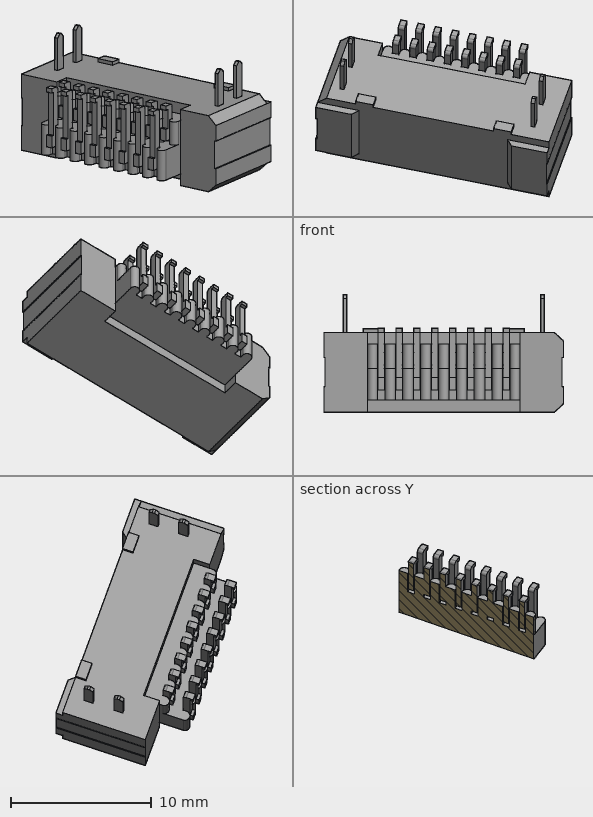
import cadquery as cq


length = 17.04
depth = 6.22
height = 5.69
end_bevel_x = 0.66
end_bevel_z = 0.61

groove_bottom = 1.84
groove_top = 3.9
left_groove_depth = 0.07
right_groove_depth = 0.1

flange_length = 3.07
flange_thick = 0.51
flange_slant = 0.45

pad_length = 1.3
pad_depth = 0.78
pad_height = 0.25
pad_spacing = 10.15

post_spacing_x = 14.04
post_spacing_y = 2.25
post_thick = 0.27
post_width = 0.68
post_front_y = 2.5
post_top = 8.37
post_taper = 0.25

carrier_length = 10.82
notch_depth = 1.21
carrier_bottom = 0.87
carrier_step = 3.14
carrier_top = 4.87

contact_count = 8
contact_span = 8.9
contact_pitch = contact_span / (contact_count - 1)
contact_width = 0.46
contact_thick = 0.53
contact_top = 6.0
bend_radius = 0.46 / 2
lip_reach = 0.22
lip_thick = 0.32
bump_height = 0.89
slot_width = 0.51
finger_reach = 0.61

upper_floor_y = 0.02
row_offset_y = 1.53
lower_floor_y = upper_floor_y - row_offset_y
upper_contact_bottom = 3.37
lower_contact_bottom = 1.58


def block(x_min, x_max, y_min, y_max, z_min, z_max):
    """Box between two opposite corners."""
    size = (x_max - x_min, y_max - y_min, z_max - z_min)
    return cq.Workplane("XY").box(*size, centered=False).translate((x_min, y_min, z_min))


def contact_positions():
    """X positions of the contacts in a row."""
    return [-contact_span / 2 + i * contact_pitch for i in range(contact_count)]



def housing_shell():
    """Main block with the bevelled right end and the notch for the carrier."""
    half = length / 2
    outline = [
        (-half, 0),
        (half - end_bevel_x, 0),
        (half, end_bevel_z),
        (half, height - end_bevel_z),
        (half - end_bevel_x, height),
        (-half, height),
    ]
    shell = cq.Workplane("XZ").polyline(outline).close().extrude(-depth)
    notch_half = carrier_length / 2
    return shell.cut(block(-notch_half, notch_half, 0, notch_depth, 0, height))


def rear_flange():
    """Right-hand flange behind the housing, slanted at its inner edge."""
    end = length / 2
    inner = end - flange_length
    back = depth + flange_thick
    outline = [(inner, depth), (end, depth), (end, back), (inner + flange_slant, back)]
    flange = cq.Workplane("XY").polyline(outline).close().extrude(height - 2 * end_bevel_z)
    return flange.translate((0, 0, end_bevel_z))


def end_grooves():
    """Cutters for the grooves along the left and right ends."""
    half = length / 2
    back = depth + flange_thick
    left = block(-half, -half + left_groove_depth, 0, back, groove_bottom, groove_top)
    right = block(half - right_groove_depth, half, 0, back, groove_bottom, groove_top)
    return left.add(right).combine()


def mounting_post(x, y):
    """Flat post with a tapered tip."""
    half = post_width / 2
    outline = [
        (y - half, height),
        (y + half, height),
        (y + half, post_top - post_taper),
        (y + half - post_taper, post_top),
        (y - half + post_taper, post_top),
        (y - half, post_top - post_taper),
    ]
    post = cq.Workplane("YZ").polyline(outline).close().extrude(post_thick)
    return post.translate((x - post_thick / 2, 0, 0))


def make_housing():
    """Housing with its flanges, pads and posts."""
    flange = rear_flange()
    body = housing_shell().union(flange).union(flange.mirror("YZ"))
    body = body.cut(end_grooves())
    for side in (-1, 1):
        pad_x = side * pad_spacing / 2
        pad_ends = (pad_x - pad_length / 2, pad_x + pad_length / 2)
        body = body.union(block(*pad_ends, depth - pad_depth, depth, height, height + pad_height))
        for post_y in (post_front_y, post_front_y + post_spacing_y):
            body = body.union(mounting_post(side * post_spacing_x / 2, post_y))
    return body



def comb(floor_y, z_min, z_max):
    """One step of the carrier: a slab whose front is cut by slots into round-nosed fingers."""
    tip_y = floor_y - finger_reach
    half = carrier_length / 2
    slots = [(x - slot_width / 2, x + slot_width / 2) for x in contact_positions()]
    finger_starts = [-half] + [slot[1] for slot in slots]
    finger_ends = [slot[0] for slot in slots] + [half]

    outline = cq.Workplane("XY").moveTo(-half, notch_depth)
    for start, end in zip(finger_starts, finger_ends):
        nose_radius = (end - start) / 2
        if start > -half:
            outline = outline.lineTo(start, floor_y)
        outline = outline.lineTo(start, tip_y + nose_radius)
        outline = outline.threePointArc((start + nose_radius, tip_y), (end, tip_y + nose_radius))
        if end < half:
            outline = outline.lineTo(end, floor_y)
    outline = outline.lineTo(half, notch_depth).close()
    return outline.extrude(z_max - z_min).translate((0, 0, z_min))


def contact(x, floor_y, bottom):
    """Upright contact with a bent-over lip on top and a bump at its foot."""
    front = floor_y - contact_thick
    lip_front = front - lip_reach
    outline = (
        cq.Workplane("YZ")
        .moveTo(floor_y, bottom)
        .lineTo(floor_y, contact_top - bend_radius)
        .radiusArc((floor_y - bend_radius, contact_top), -bend_radius)
        .lineTo(lip_front, contact_top)
        .lineTo(lip_front, contact_top - lip_thick)
        .lineTo(front, contact_top - lip_thick)
        .lineTo(front, bottom + bump_height)
        .lineTo(lip_front, bottom + bump_height)
        .lineTo(lip_front, bottom)
        .close()
    )
    return outline.extrude(contact_width).translate((x - contact_width / 2, 0, 0))


def make_carrier():
    """Stepped carrier with both rows of contacts."""
    lower = comb(lower_floor_y, carrier_bottom, carrier_step)
    carrier = lower.union(comb(upper_floor_y, carrier_step, carrier_top))
    for x in contact_positions():
        carrier = carrier.union(contact(x, upper_floor_y, upper_contact_bottom))
        carrier = carrier.union(contact(x, lower_floor_y, lower_contact_bottom))
    return carrier


housing = make_housing()
carrier = make_carrier()

result = cq.Compound.makeCompound([housing.val(), carrier.val()])